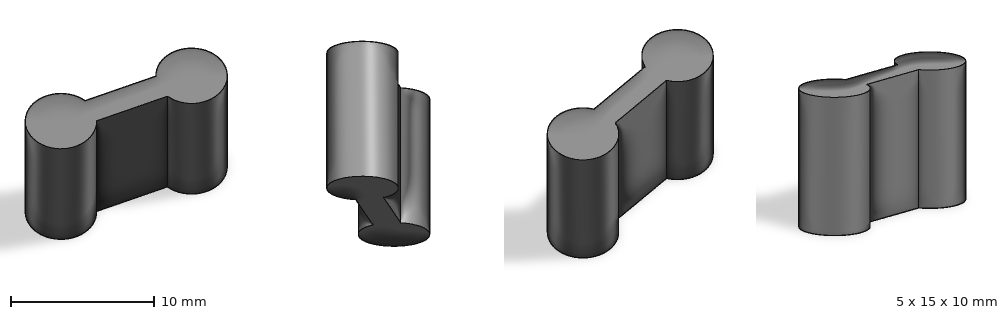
import cadquery as cq

length = 15.0
cylinder_diameter = length / 3
height = 2 * cylinder_diameter
web_thickness = 2.0

cylinder_spacing = length - cylinder_diameter

cylinders = (
    cq.Workplane("XY")
    .pushPoints([(0, -cylinder_spacing / 2), (0, cylinder_spacing / 2)])
    .circle(cylinder_diameter / 2)
    .extrude(height)
)

web = cq.Workplane("XY").rect(web_thickness, cylinder_spacing).extrude(height)

result = cylinders.union(web)